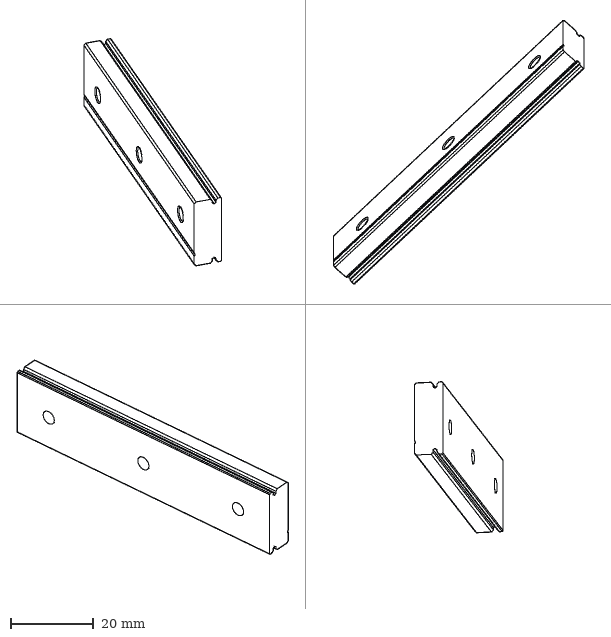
import cadquery as cq

length = 80.0
thickness = 7.0
width = 18.0
back_chamfer = 0.2
front_chamfer = 0.5

track_inset = 1.9
track_half_mouth = 1.0
slot_half_width = 0.5
mouth_depth = 0.52
slot_wall_depth = 1.1
track_depth = 1.4

mark_width = 0.7
mark_depth = 0.2
mark_height = 3.2

hole_count = 3
hole_pitch = 30.0
hole_diameter = 3.5
hole_chamfer = 0.28


def rail_bar():
    """Plain bar with chamfered long edges."""
    bar = cq.Workplane("XY").box(length, thickness, width)
    bar = bar.faces(">Y").edges("|X").chamfer(back_chamfer)
    return bar.faces("<Y").edges("|X").chamfer(front_chamfer)


def ball_track(side):
    """Cutter for one ball track; side is +1 for the upper and -1 for the lower."""
    track_y = thickness / 2 - track_inset
    edge_z = side * width / 2
    mouth_end_z = edge_z - side * mouth_depth
    wall_end_z = edge_z - side * slot_wall_depth
    return (
        cq.Workplane("YZ", origin=(-length / 2, 0, 0))
        .polyline([
            (track_y - track_half_mouth, edge_z),
            (track_y - slot_half_width, mouth_end_z),
            (track_y - slot_half_width, wall_end_z),
            (track_y, edge_z - side * track_depth),
            (track_y + slot_half_width, wall_end_z),
            (track_y + slot_half_width, mouth_end_z),
            (track_y + track_half_mouth, edge_z),
        ])
        .close()
        .extrude(length)
    )


def reference_mark():
    """Round-bottomed cutter running the full length of the front face."""
    front_y = -thickness / 2
    mark_z = mark_height - width / 2
    return (
        cq.Workplane("YZ", origin=(-length / 2, 0, 0))
        .moveTo(front_y, mark_z - mark_width / 2)
        .threePointArc((front_y + mark_depth, mark_z), (front_y, mark_z + mark_width / 2))
        .close()
        .extrude(length)
    )


def cut_mounting_holes(rail):
    """Row of through holes, chamfered where they open on the front face."""
    hole_radius = hole_diameter / 2
    first_x = -hole_pitch * (hole_count - 1) / 2
    front_y = -thickness / 2
    for index in range(hole_count):
        x = first_x + index * hole_pitch
        cutter = (
            cq.Workplane("XY", origin=(x, front_y, 0))
            .polyline([
                (0, 0),
                (hole_radius + hole_chamfer, 0),
                (hole_radius, hole_chamfer),
                (hole_radius, thickness),
                (0, thickness),
            ])
            .close()
            .revolve(360, (0, 0), (0, 1))
        )
        rail = rail.cut(cutter)
    return rail


rail = rail_bar()
for side in (1, -1):
    rail = rail.cut(ball_track(side))
rail = rail.cut(reference_mark())
result = cut_mounting_holes(rail)